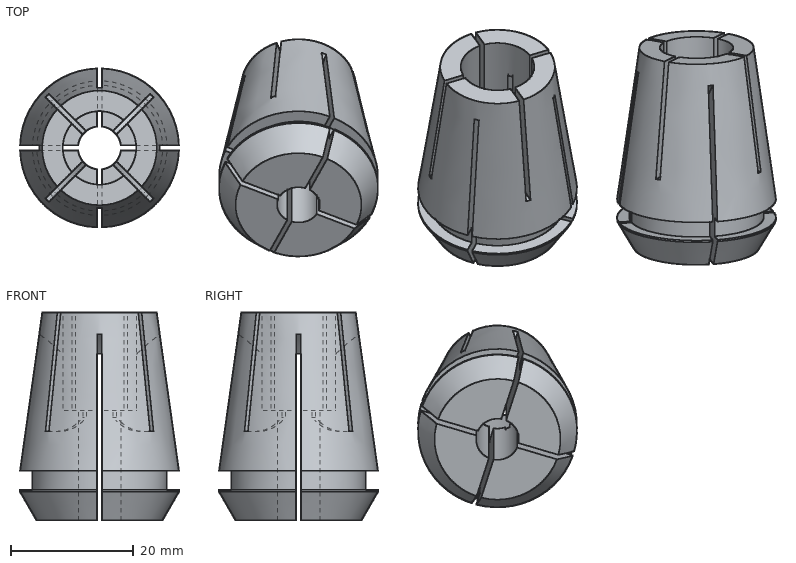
import cadquery as cq
import math

total_height = 34.0
max_radius = 13.0
body_taper = math.radians(8)
body_bottom = 8.1
top_radius = max_radius - (total_height - body_bottom) * math.tan(body_taper)

groove_radius = 11.0
groove_bottom = 5.0
rim_height = 0.3
nose_taper = math.radians(30)
nose_height = groove_bottom - rim_height
nose_radius = max_radius - nose_height * math.tan(nose_taper)

bore_radius = 3.5
relief_radius = 6.0
relief_bottom = 18.0

slot_width = 0.8
slots_per_end = 4
slot_pitch = 360 / slots_per_end
cut_reach = max_radius + 1.0
cut_margin = 1.0

lower_slot_top = 30.45
lower_slot_end_radius = max_radius - (lower_slot_top - body_bottom) * math.tan(body_taper)
lower_slot_bore_top = 27.2
lower_slot_end_bulge = 0.15

upper_slot_floor = 14.6
upper_slot_flat_radius = 9.45
upper_slot_bore_floor = 16.9


def make_body():
    """Turned blank with nose, groove and clamping taper."""
    return (
        cq.Workplane("XZ")
        .moveTo(0, 0)
        .lineTo(nose_radius, 0)
        .lineTo(max_radius, nose_height)
        .lineTo(max_radius, groove_bottom)
        .lineTo(groove_radius, groove_bottom)
        .lineTo(groove_radius, body_bottom)
        .lineTo(max_radius, body_bottom)
        .lineTo(top_radius, total_height)
        .lineTo(0, total_height)
        .close()
        .revolve(360, (0, 0, 0), (0, 1, 0))
    )


def make_bore():
    """Through bore with a wider relief at the top."""
    bore = cq.Workplane("XY").circle(bore_radius).extrude(total_height)
    relief = (
        cq.Workplane("XY")
        .workplane(offset=relief_bottom)
        .circle(relief_radius)
        .extrude(total_height - relief_bottom)
    )
    return bore.union(relief)


def lower_slot():
    """Slot along +X, open at the bottom and closed below the top face."""
    end_middle = (
        (relief_radius + lower_slot_end_radius) / 2,
        (lower_slot_bore_top + lower_slot_top) / 2 + lower_slot_end_bulge,
    )
    return (
        cq.Workplane("XZ")
        .moveTo(0, -cut_margin)
        .lineTo(cut_reach, -cut_margin)
        .lineTo(cut_reach, lower_slot_top)
        .lineTo(lower_slot_end_radius, lower_slot_top)
        .threePointArc(end_middle, (relief_radius, lower_slot_bore_top))
        .lineTo(0, lower_slot_bore_top)
        .close()
        .extrude(slot_width / 2, both=True)
    )


def upper_slot():
    """Slot along +X, open at the top, with its floor arc tangent to the flat outer floor."""
    run = upper_slot_flat_radius - bore_radius
    rise = upper_slot_bore_floor - upper_slot_floor
    floor_radius = (run**2 + rise**2) / (2 * rise)
    half_angle = math.asin(run / floor_radius) / 2
    floor_middle = (
        upper_slot_flat_radius - floor_radius * math.sin(half_angle),
        upper_slot_floor + floor_radius * (1 - math.cos(half_angle)),
    )
    return (
        cq.Workplane("XZ")
        .moveTo(0, total_height + cut_margin)
        .lineTo(cut_reach, total_height + cut_margin)
        .lineTo(cut_reach, upper_slot_floor)
        .lineTo(upper_slot_flat_radius, upper_slot_floor)
        .threePointArc(floor_middle, (bore_radius, upper_slot_bore_floor))
        .lineTo(0, upper_slot_bore_floor)
        .close()
        .extrude(slot_width / 2, both=True)
    )


def cut_slots(body, slot, first_angle):
    """Cut one ring of equally spaced slots."""
    for index in range(slots_per_end):
        angle = first_angle + index * slot_pitch
        body = body.cut(slot.rotate((0, 0, 0), (0, 0, 1), angle))
    return body


result = make_body().cut(make_bore())
result = cut_slots(result, lower_slot(), 0)
result = cut_slots(result, upper_slot(), slot_pitch / 2)